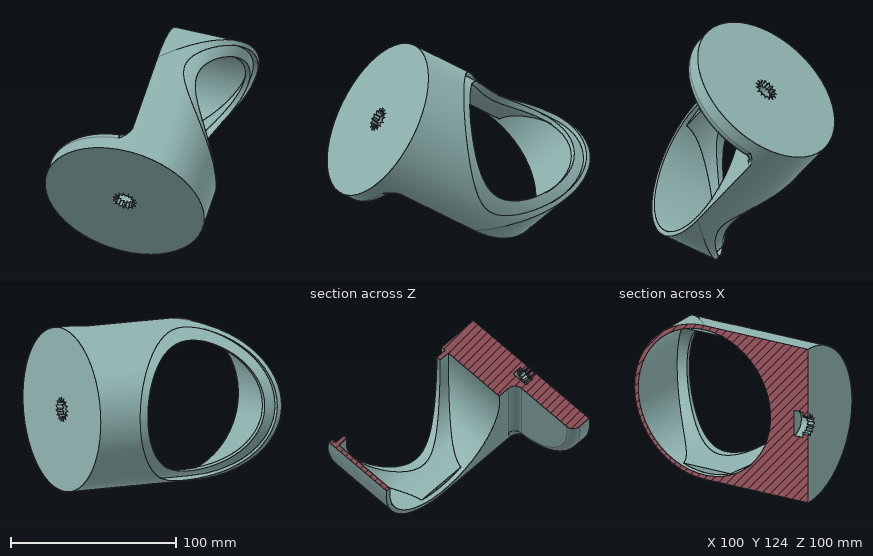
import cadquery as cq
import math

outer_radius = 50.0
wall = 3.0
bore_radius = outer_radius - wall
opening_radius = 40.0
ring_center_y = 74.0
base_thickness = 14.0
length_y = ring_center_y + outer_radius

blend_radius = 5.5
rim_center_radius = outer_radius - blend_radius
rim_start_y = base_thickness - blend_radius
blend_top_y = base_thickness + blend_radius
blend_half_width = math.sqrt(rim_center_radius**2 - blend_radius**2)
rim_end_angle = math.degrees(math.asin(blend_radius / rim_center_radius))
runout_drop = 1.6
runout_steps = 4
edge_slope = 0.03
cutter_margin = 5.0

tooth_count = 15
tooth_tip_radius = 7.3
tooth_root_radius = 5.0
tooth_depth = 4.0
recess_radius = 16.12 / 2
socket_depth = 10.0


def cylinder_along_y(radius, length):
    """Cylinder on the base axis, starting at the underside of the base."""
    return cq.Workplane("XZ").circle(radius).extrude(-length)


def cylinder_along_x(radius, start_x=0):
    """Cylinder on the ring axis, from start_x to the outermost wall."""
    return (
        cq.Workplane("YZ", origin=(start_x, ring_center_y, 0))
        .circle(radius)
        .extrude(outer_radius - start_x)
    )


def blank():
    """Disc and upright in one piece, with the inner corner rounded across the full width."""
    side_profile = (
        cq.Workplane("XY", origin=(0, 0, -outer_radius))
        .moveTo(-outer_radius, 0)
        .lineTo(outer_radius, 0)
        .lineTo(outer_radius, length_y)
        .lineTo(0, length_y)
        .lineTo(0, blend_top_y)
        .radiusArc((-blend_radius, base_thickness), blend_radius)
        .lineTo(-outer_radius, base_thickness)
        .close()
        .extrude(2 * outer_radius)
    )
    return side_profile.intersect(cylinder_along_y(outer_radius, length_y))


def ring_end_waste():
    """Material outside the round far end of the upright."""
    return (
        cq.Workplane("YZ")
        .moveTo(ring_center_y, -outer_radius)
        .threePointArc((length_y, 0), (ring_center_y, outer_radius))
        .lineTo(ring_center_y, outer_radius + cutter_margin)
        .lineTo(length_y + cutter_margin, outer_radius + cutter_margin)
        .lineTo(length_y + cutter_margin, -outer_radius - cutter_margin)
        .lineTo(ring_center_y, -outer_radius - cutter_margin)
        .close()
        .extrude(outer_radius + cutter_margin)
    )


def rim_cutter():
    """Ring segment that rounds the disc rim on the -X side."""
    sweep = 180 - 2 * rim_end_angle
    top = base_thickness + cutter_margin
    outside = outer_radius + cutter_margin
    return (
        cq.Workplane("XY")
        .moveTo(rim_center_radius, base_thickness)
        .radiusArc((outer_radius, rim_start_y), blend_radius)
        .lineTo(outside, rim_start_y)
        .lineTo(outside, top)
        .lineTo(rim_center_radius, top)
        .close()
        .revolve(sweep, (0, 0, 0), (0, 1, 0))
        .rotate((0, 0, 0), (0, 1, 0), 90 + rim_end_angle)
    )


def runout_section(angle):
    """Cutter outline in the radial plane that meets the inner corner arc at this angle."""
    x = blend_radius * (math.sin(angle) - 1)
    top = blend_top_y - blend_radius * math.cos(angle)
    drop = runout_drop + (blend_radius - runout_drop) * (1 - math.sin(angle))
    inner = math.hypot(x, blend_half_width)
    tangents = [(1, -edge_slope), (edge_slope, -1)]
    middle = (
        inner + (outer_radius - inner) * math.sin(math.pi / 4),
        top - drop * (1 - math.cos(math.pi / 4)),
    )
    plane = cq.Plane(origin=(0, 0, 0), xDir=(x, 0, blend_half_width), normal=(-blend_half_width, 0, x))
    return (
        cq.Workplane(plane)
        .moveTo(inner, top)
        .spline([middle, (outer_radius, top - drop)], tangents=tangents, includeCurrent=True)
        .lineTo(outer_radius + cutter_margin, top - drop)
        .lineTo(outer_radius + cutter_margin, top + cutter_margin)
        .lineTo(inner, top + cutter_margin)
        .close()
        .wire()
        .val()
    )


def runout_cutter():
    """Carries the rim rounding up the inner corner and fades it out, at the +Z end."""
    quarter_turn = math.pi / 2
    sections = [runout_section(i * quarter_turn / runout_steps) for i in range(runout_steps + 1)]
    return cq.Workplane(cq.Solid.makeLoft(sections))


def curved_lip():
    """Curved wall inside the bore that narrows it to the opening, set back from the flat face."""
    shell = cylinder_along_y(bore_radius, length_y).cut(cylinder_along_y(bore_radius - wall, length_y))
    return shell.intersect(cylinder_along_x(bore_radius, wall)).cut(cylinder_along_x(opening_radius))


def toothed_socket():
    """Star-shaped entry with one tooth pointing along +X, opening into the round recess."""
    half_pitch = math.pi / tooth_count
    points = []
    for i in range(2 * tooth_count):
        radius = tooth_root_radius if i % 2 else tooth_tip_radius
        points.append((radius * math.cos(i * half_pitch), radius * math.sin(i * half_pitch)))
    star = cq.Workplane("XZ").polyline(points).close().extrude(-tooth_depth)
    recess = (
        cq.Workplane("XZ", origin=(0, tooth_depth, 0))
        .circle(recess_radius)
        .extrude(tooth_depth - socket_depth)
    )
    return star.union(recess)


def rounded_rim_cutter():
    """Whole rounding of the disc rim, with a run-out at either end."""
    runout = runout_cutter()
    return rim_cutter().union(runout).union(runout.mirror("XY"))


body = blank().cut(ring_end_waste()).cut(rounded_rim_cutter())
bored_body = body.cut(cylinder_along_x(bore_radius))
result = bored_body.union(curved_lip()).cut(toothed_socket())